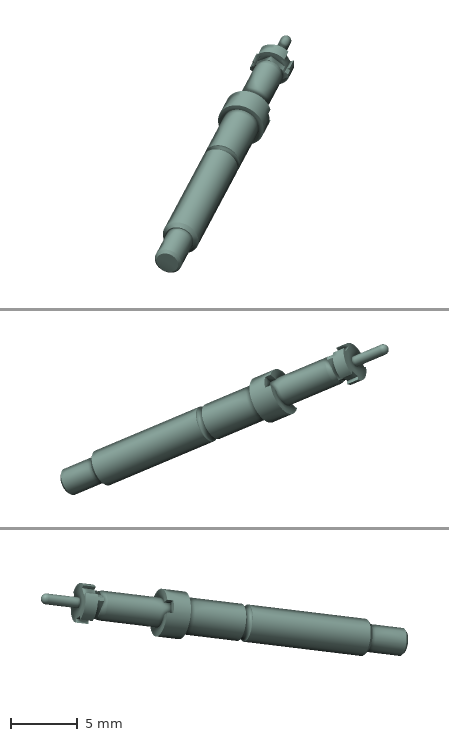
import cadquery as cq

LENGTH = 29.3
TAIL_END = 3.0
GROOVE_MIDDLE = 13.05
COLLAR_START = 17.93
COLLAR_LENGTH = 1.88
HEAD_LENGTH = 1.0
PLATE_LENGTH = 0.5
PIN_LENGTH = 3.0
HEAD_START = LENGTH - PIN_LENGTH - HEAD_LENGTH
PLATE_START = HEAD_START - PLATE_LENGTH

TAIL_DIAMETER = 2.1
BODY_DIAMETER = 2.8
COLLAR_DIAMETER = 3.6
BARREL_DIAMETER = 2.25
HEAD_DIAMETER = 3.0
PIN_DIAMETER = 0.82

TAIL_RADIUS = TAIL_DIAMETER / 2
BODY_RADIUS = BODY_DIAMETER / 2
COLLAR_RADIUS = COLLAR_DIAMETER / 2
BARREL_RADIUS = BARREL_DIAMETER / 2
HEAD_RADIUS = HEAD_DIAMETER / 2
PIN_RADIUS = PIN_DIAMETER / 2

TAIL_CHAMFER = 0.2
BODY_CHAMFER = 0.25
GROOVE_RADIUS = 0.25
SHOULDER_LENGTH = 0.4
SHOULDER_DROP = 0.1

COLLAR_NOTCH_WIDTH = 1.0
COLLAR_NOTCH_DEPTH = 0.5

SLOT_WIDTH = 0.82
SLOT_FLOOR_RADIUS = 1.15
SLOT_ANGLES = (30, 150, 270)
TIP_LAND = 0.25


def cylinder(radius, start, length):
    """A cylinder on the Y axis, running from start towards +Y."""
    return cq.Workplane("XZ", origin=(0, start, 0)).circle(radius).extrude(-length)


def make_tail():
    """The plain tail, chamfered at its free end."""
    return cylinder(TAIL_RADIUS, 0, TAIL_END).faces("<Y").chamfer(TAIL_CHAMFER)


def make_body():
    """The body, chamfered at the tail and ringed by a half-round groove."""
    body = cylinder(BODY_RADIUS, TAIL_END, COLLAR_START - TAIL_END).faces("<Y").chamfer(BODY_CHAMFER)
    groove = (
        cq.Workplane("XY", origin=(BODY_RADIUS, GROOVE_MIDDLE, 0))
        .circle(GROOVE_RADIUS)
        .revolve(360, (-BODY_RADIUS, 0, 0), (-BODY_RADIUS, 1, 0))
    )
    return body.cut(groove)


def make_collar():
    """The collar, notched down to the barrel on its +Y face."""
    notch = cq.Workplane("XY").box(COLLAR_DIAMETER, COLLAR_NOTCH_DEPTH, COLLAR_NOTCH_WIDTH)
    notch = notch.translate((0, COLLAR_START + COLLAR_LENGTH - COLLAR_NOTCH_DEPTH / 2, 0))
    return cylinder(COLLAR_RADIUS, COLLAR_START, COLLAR_LENGTH).cut(notch)


def make_barrel():
    """The barrel above the body, rounded gently inwards where it meets the plate."""
    shoulder_start = PLATE_START - SHOULDER_LENGTH
    return (
        cq.Workplane("XY")
        .moveTo(0, COLLAR_START)
        .lineTo(BARREL_RADIUS, COLLAR_START)
        .lineTo(BARREL_RADIUS, shoulder_start)
        .tangentArcPoint((BARREL_RADIUS - SHOULDER_DROP, PLATE_START), relative=False)
        .lineTo(0, PLATE_START)
        .close()
        .revolve(360, (0, 0, 0), (0, 1, 0))
    )


def make_head():
    """A slotted disc on a diamond plate whose two tips reach the rim of the disc."""
    disc = cylinder(HEAD_RADIUS, HEAD_START, HEAD_LENGTH)
    half_land = TIP_LAND / 2
    plate = (
        cq.Workplane("XZ", origin=(0, PLATE_START, 0))
        .polyline([
            (0, BARREL_RADIUS),
            (HEAD_RADIUS, half_land),
            (HEAD_RADIUS, -half_land),
            (0, -BARREL_RADIUS),
            (-HEAD_RADIUS, -half_land),
            (-HEAD_RADIUS, half_land),
        ])
        .close()
        .extrude(-PLATE_LENGTH)
        .intersect(cylinder(HEAD_RADIUS, PLATE_START, PLATE_LENGTH))
    )
    head = disc.union(plate)
    height = PLATE_LENGTH + HEAD_LENGTH
    slot_middle = SLOT_FLOOR_RADIUS + HEAD_RADIUS / 2
    for angle in SLOT_ANGLES:
        slot = cq.Workplane("XY").box(HEAD_RADIUS, height, SLOT_WIDTH)
        slot = slot.translate((slot_middle, PLATE_START + height / 2, 0))
        head = head.cut(slot.rotate((0, 0, 0), (0, 1, 0), -angle))
    return head


def make_pin():
    """The slim pin with a hemispherical tip."""
    straight_length = PIN_LENGTH - PIN_RADIUS
    tip = cq.Workplane("XY").sphere(PIN_RADIUS).translate((0, LENGTH - PIN_RADIUS, 0))
    return cylinder(PIN_RADIUS, LENGTH - PIN_LENGTH, straight_length).union(tip)


result = make_tail()
for section in (make_body(), make_collar(), make_barrel(), make_head(), make_pin()):
    result = result.union(section)